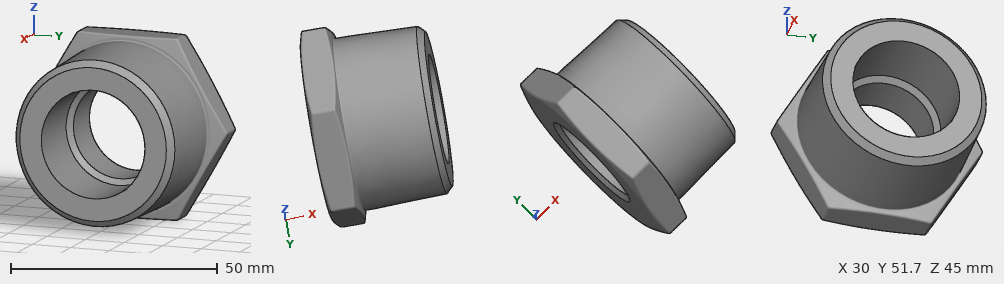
import cadquery as cq
import math

TOTAL_LENGTH = 30.0
HEAD_LENGTH = 8.0
COLLAR_END = 10.9

ACROSS_FLATS = 45.0
CORNER_RADIUS = 1.0
CROWN_RADIUS = 21.95
CROWN_ANGLE = 15
CROWN_BLEND = 1.0
HEAD_EDGE_RADIUS = 0.5

COLLAR_DIAMETER = 42.3
TAPER = 1 / 16
END_CHAMFER = 1.6
ROOT_RADIUS = 0.3

BORE_DIAMETER = 24.1
MOUTH_DIAMETER = 26.45
RELIEF_DIAMETER = 26.85
RELIEF_START = 12.0


def revolve_about_x(profile):
    """Turn a closed (x, radius) outline around the X axis."""
    return profile.close().revolve(360, (0, 0, 0), (1, 0, 0))


def hex_head():
    """Hexagon chamfered on both faces, with every outer edge rounded."""
    across_corners = ACROSS_FLATS / math.cos(math.pi / 6)
    prism = (
        cq.Workplane("YZ")
        .polygon(6, across_corners)
        .extrude(HEAD_LENGTH)
        .edges("|X")
        .fillet(CORNER_RADIUS)
    )
    rim_radius = across_corners / 2 + CORNER_RADIUS
    crown_depth = (rim_radius - CROWN_RADIUS) * math.tan(math.radians(CROWN_ANGLE))
    crown = revolve_about_x(
        cq.Workplane("XY")
        .lineTo(0, CROWN_RADIUS)
        .lineTo(crown_depth, rim_radius)
        .lineTo(HEAD_LENGTH - crown_depth, rim_radius)
        .lineTo(HEAD_LENGTH, CROWN_RADIUS)
        .lineTo(HEAD_LENGTH, 0)
    )
    crown = crown.faces("<X or >X").edges().fillet(CROWN_BLEND)
    head = prism.intersect(crown)
    sides = head.faces("#X or (%CYLINDER)")
    return head.newObject(sides.edges("not |X").vals()).fillet(HEAD_EDGE_RADIUS)


def spigot():
    """Straight collar, taper and end chamfer, with a filleted root at the head."""
    collar_radius = COLLAR_DIAMETER / 2
    taper_end = TOTAL_LENGTH - END_CHAMFER
    tip_radius = collar_radius - (taper_end - COLLAR_END) * TAPER / 2
    return revolve_about_x(
        cq.Workplane("XY")
        .moveTo(HEAD_LENGTH, 0)
        .lineTo(HEAD_LENGTH, collar_radius + ROOT_RADIUS)
        .radiusArc((HEAD_LENGTH + ROOT_RADIUS, collar_radius), -ROOT_RADIUS)
        .lineTo(COLLAR_END, collar_radius)
        .lineTo(taper_end, tip_radius)
        .lineTo(TOTAL_LENGTH, tip_radius - END_CHAMFER)
        .lineTo(TOTAL_LENGTH, 0)
    )


def bore():
    """Stepped through hole: 45 degree mouth chamfer, bore, 45 degree step, relief."""
    bore_radius = BORE_DIAMETER / 2
    mouth_radius = MOUTH_DIAMETER / 2
    relief_radius = RELIEF_DIAMETER / 2
    return revolve_about_x(
        cq.Workplane("XY")
        .lineTo(0, mouth_radius)
        .lineTo(mouth_radius - bore_radius, bore_radius)
        .lineTo(RELIEF_START, bore_radius)
        .lineTo(RELIEF_START + relief_radius - bore_radius, relief_radius)
        .lineTo(TOTAL_LENGTH, relief_radius)
        .lineTo(TOTAL_LENGTH, 0)
    )


result = hex_head().union(spigot()).cut(bore())